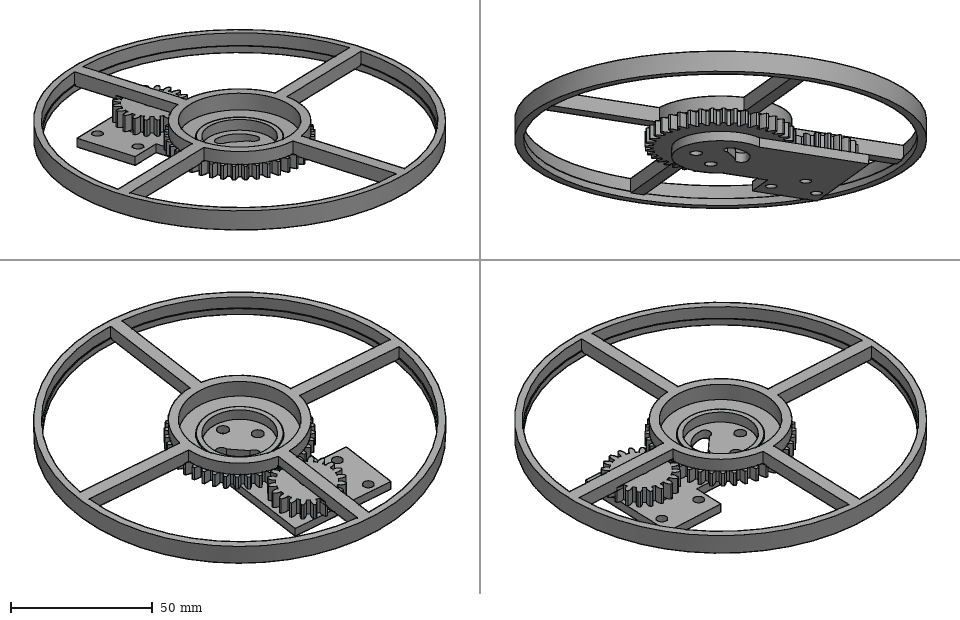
import cadquery as cq
import math

plate_thickness = 3.5
gear_top = 8.9
spoke_bottom = 8.5
pinion_top = 9.9
hub_floor = 7.4
boss_top = 7.7
total_height = 14.0
rim_height = 7.5
rim_lip_top = 9.0

rim_diameter = 145.4
rim_bore = 139.9
rim_lip_bore = 139.0
spoke_width = 5.1
spoke_count = 4
hub_diameter = 50.3
hub_recess_diameter = 43.2
wheel_bore = 31.1

centre_distance = 38.1
pressure_angle = math.radians(20)
wheel_teeth = 40
pinion_teeth = 20
gear_module = 2 * centre_distance / (wheel_teeth + pinion_teeth)
addendum = gear_module
dedendum = 1.25 * gear_module
pinion_x = -centre_distance
pinion_bore = 5.5

mount_left = -50.6
mount_right = -25.3
mount_bottom = -27.9
arm_half_width = 15.3
disc_diameter = 34.5
boss_diameter = 30.5
boss_pocket_diameter = 26.6
boss_pocket_floor = 3.5
screw_hole_diameter = 4.0
screw_spacing = 17.6
screw_row_y = -20.6
peg_hole_y = -10.6
boss_hole_diameter = 4.5
side_hole_x = 9.5
slot_radius = 8.1
slot_width = 4.5


def cylinder(diameter, bottom, top):
    """Upright cylinder on the Z axis."""
    return cq.Workplane("XY").workplane(offset=bottom).circle(diameter / 2).extrude(top - bottom)


def box(left, right, front, back, bottom, top):
    """Block between the given coordinates."""
    size = (right - left, back - front, top - bottom)
    return cq.Workplane("XY").box(*size, centered=False).translate((left, front, bottom))


def polar(radius, angle):
    """Point at a radius and an angle in radians."""
    return (radius * math.cos(angle), radius * math.sin(angle))


def spur_gear(teeth, bottom, top):
    """Involute spur gear on the Z axis with a tooth gap centred on +X; radial flanks below the base circle."""
    pitch_radius = gear_module * teeth / 2
    base_radius = pitch_radius * math.cos(pressure_angle)
    root_radius = pitch_radius - dedendum
    tip_radius = pitch_radius + addendum
    pitch_angle = 2 * math.pi / teeth
    flank_steps = 3

    def half_angle(radius):
        """Half the angle that a tooth spans at a radius; constant inside the base circle."""
        local = math.acos(min(1, base_radius / radius))
        involute = math.tan(local) - local
        involute_at_pitch = math.tan(pressure_angle) - pressure_angle
        return pitch_angle / 4 + involute_at_pitch - involute

    flank_radii = [
        base_radius + (tip_radius - base_radius) * step / flank_steps for step in range(flank_steps + 1)
    ]
    outline = cq.Workplane("XY").workplane(offset=bottom)
    outline = outline.moveTo(*polar(root_radius, pitch_angle / 2 - half_angle(root_radius)))
    for tooth in range(teeth):
        centre = (tooth + 0.5) * pitch_angle
        rising = [polar(radius, centre - half_angle(radius)) for radius in flank_radii]
        falling = [polar(radius, centre + half_angle(radius)) for radius in reversed(flank_radii)]
        next_root = centre + pitch_angle - half_angle(root_radius)
        outline = outline.lineTo(*rising[0])
        outline = outline.spline(rising[1:], includeCurrent=True)
        outline = outline.threePointArc(polar(tip_radius, centre), falling[0])
        outline = outline.spline(falling[1:], includeCurrent=True)
        outline = outline.lineTo(*polar(root_radius, centre + half_angle(root_radius)))
        gap_middle = polar(root_radius, centre + pitch_angle / 2)
        outline = outline.threePointArc(gap_middle, polar(root_radius, next_root))
    return outline.close().extrude(top - bottom)


def make_wheel():
    """Rim, spokes, hub and gear in one piece."""
    rim_bottom = total_height - rim_height
    rim = cylinder(rim_diameter, rim_bottom, total_height)
    rim = rim.cut(cylinder(rim_bore, rim_lip_top, total_height))
    rim = rim.cut(cylinder(rim_lip_bore, rim_bottom, rim_lip_top))
    wheel = rim.union(cylinder(hub_diameter, gear_top, total_height))
    spoke_length = (rim_diameter + rim_bore) / 4
    half_spoke = spoke_width / 2
    spoke = box(0, spoke_length, -half_spoke, half_spoke, spoke_bottom, total_height)
    for index in range(spoke_count):
        wheel = wheel.union(spoke.rotate((0, 0, 0), (0, 0, 1), index * 360 / spoke_count))
    wheel = wheel.union(spur_gear(wheel_teeth, plate_thickness, gear_top))
    wheel = wheel.cut(cylinder(hub_recess_diameter, hub_floor, total_height))
    return wheel.cut(cylinder(wheel_bore, plate_thickness, total_height))


def make_pinion(wheel):
    """Pinion on the plate, relieved where the wheel's spoke and teeth meet it."""
    pinion = spur_gear(pinion_teeth, plate_thickness, pinion_top)
    pinion = pinion.cut(cylinder(pinion_bore, plate_thickness, pinion_top))
    return pinion.translate((pinion_x, 0, 0)).cut(wheel)


def slot_cutter():
    """Slot from +Y to -X with round ends, an arc as its outer side and a chord as its inner side."""
    outer = slot_radius + slot_width / 2
    middle_angle = math.radians(135)
    inner = slot_radius - slot_width / 2
    cutter = (
        cq.Workplane("XY")
        .moveTo(0, outer)
        .threePointArc(polar(outer, middle_angle), (-outer, 0))
        .threePointArc((-slot_radius, -slot_width / 2), (-inner, 0))
        .lineTo(0, inner)
        .threePointArc((slot_width / 2, slot_radius), (0, outer))
        .close()
    )
    return cutter.extrude(boss_pocket_floor)


def make_plate():
    """Motor mount and the hollow boss that the wheel turns on."""
    mount = box(mount_left, mount_right, mount_bottom, arm_half_width, 0, plate_thickness)
    arm = box(mount_left, 0, -arm_half_width, arm_half_width, 0, plate_thickness)
    plate = mount.union(arm).union(cylinder(disc_diameter, 0, plate_thickness))
    plate = plate.union(cylinder(boss_diameter, 0, boss_top))
    plate = plate.cut(cylinder(boss_pocket_diameter, boss_pocket_floor, boss_top))
    plate = plate.cut(slot_cutter())
    boss_hole = cylinder(boss_hole_diameter, 0, boss_pocket_floor)
    for place in [(side_hole_x, 0, 0), (0, -slot_radius, 0)]:
        plate = plate.cut(boss_hole.translate(place))
    screw_hole = cylinder(screw_hole_diameter, 0, plate_thickness)
    screw_places = [(pinion_x + side * screw_spacing / 2, screw_row_y, 0) for side in (-1, 1)]
    for place in [*screw_places, (pinion_x, peg_hole_y, 0)]:
        plate = plate.cut(screw_hole.translate(place))
    return plate


wheel = make_wheel()
pinion = make_pinion(wheel)
plate = make_plate()

result = cq.Compound.makeCompound([wheel.val(), pinion.val(), plate.val()])